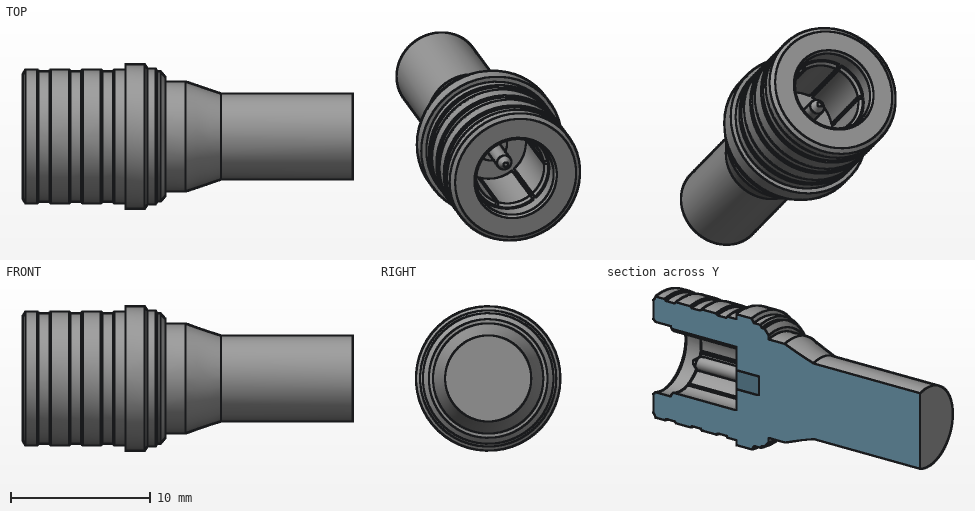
import cadquery as cq


total_length = 23.74
flange_radius = 5.205
sleeve_radius = 4.83
collar_radius = 4.9
neck_radius = 4.7
shoulder_radius = 4.27
ferrule_radius = 3.97
tail_radius = 3.1

front_chamfer_length = 0.21
front_face_radius = 4.48
flange_start = 7.38
flange_chamfer_start = 8.77
collar_start = 8.97
collar_end = 9.54
neck_start = 9.68
neck_end = 9.9
shoulder_end = 10.28
reducer_start = 11.7
reducer_end = 14.25

groove_count = 3
groove_start = 1.03
groove_pitch = 2.29
groove_width = 1.0
groove_depth = 0.12

mouth_radius = 3.05
mouth_chamfer_length = 0.22
entry_radius = 2.87
finger_front = 1.56
finger_lip_radius = 2.78
finger_lip_length = 0.24
finger_bore_radius = 2.54
cavity_depth = flange_start
slot_count = 6
slot_width = 0.2
first_slot_angle = 8.4

contact_base_radius = 1.145
contact_base_length = 2.0
pin_radius = 0.53
pin_tip_radius = 0.17
pin_tip_start = 3.0
pin_tip_length = 0.5


def turned(profile):
    """Revolve a profile drawn in XY (X axial, Y radial) about the X axis."""
    return profile.close().revolve(360, (0, 0, 0), (1, 0, 0))


def housing_outside():
    return turned(
        cq.Workplane("XY")
        .moveTo(0, 0)
        .lineTo(0, front_face_radius)
        .lineTo(front_chamfer_length, sleeve_radius)
        .lineTo(flange_start, sleeve_radius)
        .lineTo(flange_start, flange_radius)
        .lineTo(flange_chamfer_start, flange_radius)
        .lineTo(collar_start, collar_radius)
        .lineTo(collar_end, collar_radius)
        .lineTo(neck_start, neck_radius)
        .lineTo(neck_end, neck_radius)
        .lineTo(shoulder_end, shoulder_radius)
        .lineTo(shoulder_end, ferrule_radius)
        .lineTo(reducer_start, ferrule_radius)
        .lineTo(reducer_end, tail_radius)
        .lineTo(total_length, tail_radius)
        .lineTo(total_length, 0)
    )


def grip_groove(start):
    """Ring with 45 degree flanks that cuts one groove into the sleeve."""
    end = start + groove_width
    floor_radius = sleeve_radius - groove_depth
    return turned(
        cq.Workplane("XY")
        .moveTo(start, sleeve_radius)
        .lineTo(start + groove_depth, floor_radius)
        .lineTo(end - groove_depth, floor_radius)
        .lineTo(end, sleeve_radius)
    )


def mating_cavity():
    return turned(
        cq.Workplane("XY")
        .moveTo(0, 0)
        .lineTo(0, mouth_radius)
        .lineTo(mouth_chamfer_length, entry_radius)
        .lineTo(finger_front, entry_radius)
        .lineTo(finger_front, finger_lip_radius)
        .lineTo(finger_front + finger_lip_length, finger_bore_radius)
        .lineTo(cavity_depth, finger_bore_radius)
        .lineTo(cavity_depth, 0)
    )


def finger_slots():
    """Radial slots that part the ring into fingers, as deep as the entry bore radius."""
    slot_length = cavity_depth - finger_front
    limit = cq.Workplane("YZ", origin=(finger_front, 0, 0)).circle(entry_radius).extrude(slot_length)
    slots = cq.Workplane("XY")
    for index in range(slot_count):
        angle = first_slot_angle + index * 360 / slot_count
        slot = (
            cq.Workplane("XY")
            .box(slot_length, slot_width, mouth_radius, centered=(False, True, False))
            .translate((finger_front, 0, 0))
            .rotate((0, 0, 0), (1, 0, 0), 90 - angle)
        )
        slots = slots.add(slot.intersect(limit))
    return slots.vals()


def centre_contact():
    """Pointed pin on a round base whose front is flush with the cavity floor."""
    base_end = cavity_depth + contact_base_length
    return turned(
        cq.Workplane("XY")
        .moveTo(pin_tip_start, 0)
        .lineTo(pin_tip_start, pin_tip_radius)
        .lineTo(pin_tip_start + pin_tip_length, pin_radius)
        .lineTo(cavity_depth, pin_radius)
        .lineTo(cavity_depth, contact_base_radius)
        .lineTo(base_end, contact_base_radius)
        .lineTo(base_end, 0)
    )


contact = centre_contact()

housing = housing_outside()
for groove_index in range(groove_count):
    housing = housing.cut(grip_groove(groove_start + groove_index * groove_pitch))
housing = housing.cut(mating_cavity())
for finger_slot in finger_slots():
    housing = housing.cut(cq.Workplane(finger_slot))
housing = housing.cut(contact)

result = cq.Compound.makeCompound([housing.val(), contact.val()])